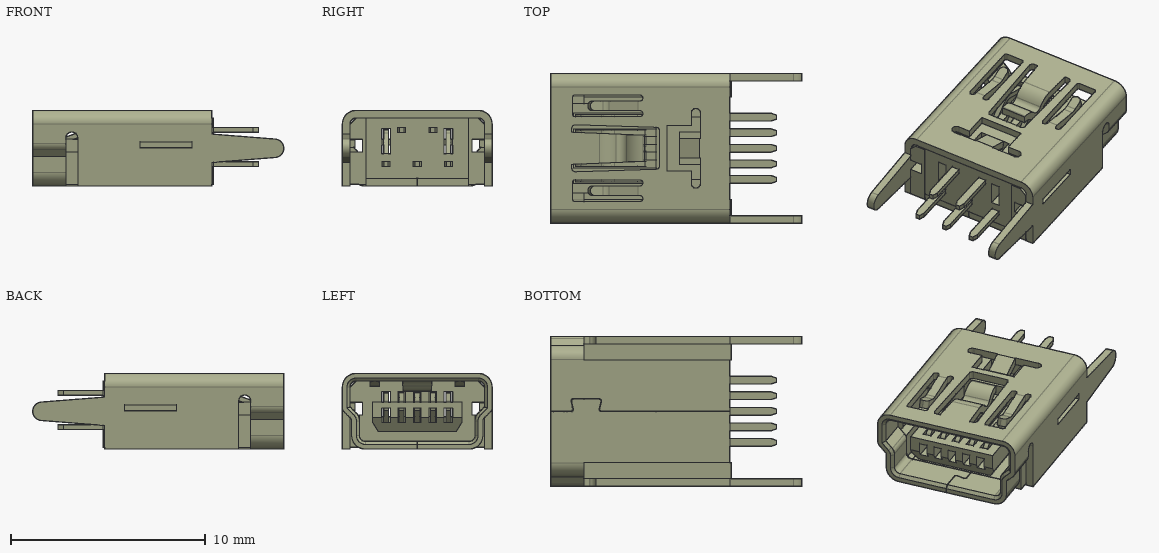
import cadquery as cq
import math

overall_length = 12.9
overall_width = 7.7
overall_height = 3.9
sheet = 0.4

half_width = overall_width / 2
inner_half_width = half_width - sheet
roof_underside = overall_height - sheet
roof_middle = overall_height - sheet / 2

nearly_round = 0.99

shell_length = 9.2
mouth_length = 1.7
corner_radius = 0.71
neck_top = 2.01
neck_half_width = 3.37
neck_radius = 0.41
mouth_bevel = 0.15
side_slot_end = 2.32
side_slot_top = 2.77
seam_width = 0.03
seam_tab_start = 1.19
seam_tab_length = 1.29
seam_tab_depth = 0.63
seam_tab_flare = 0.15
seam_corner_radius = 0.1

leg_center_z = 1.95
leg_root_half_height = 0.74
leg_tip_half_height = 0.48
leg_round_length = 0.43

slit_start = 5.51
slit_end = 8.19
slit_bottom = 1.96
slit_top = 2.28
barb_bottom = 2.0
barb_top = 2.37
barb_depth = 0.26

side_spring_y = 2.18
side_spring_width = 0.49
side_spring_tip = 1.97
side_spring_low = 2.83
side_spring_hinge = 4.5
side_spring_drop = 0.31
side_spring_tip_drop = 0.01
side_spring_bend_radius = 0.77
side_window_start = 1.14
side_window_end = 4.73
side_window_width = 1.11
side_window_corner = 0.1

latch_window_start = 1.08
latch_window_end = 5.59
latch_window_front_half = 1.21
latch_window_rear_half = 1.07
latch_window_front_corner = 0.19
latch_window_rear_corner = 0.15
latch_front_half = 0.83
latch_tip_half = 0.67
latch_tip = 4.81
latch_valley_x = 3.62
latch_valley_run = 0.7
latch_valley_drop = 0.83
latch_valley_radius = 0.55
latch_crest_radius = 0.9

tab_window_start = 5.99
tab_window_half = 1.17
relief_start = 7.22
relief_end = 7.69
relief_half = 2.04
tab_tip = 6.6
tab_half = 0.5
tab_drop = 0.41
tab_root = 0.13

housing_bottom = 0.09
housing_front = mouth_length
rear_block_front = 5.42
ledge_top = 1.77
groove_top = 2.4
groove_half = 2.81
housing_chamfer = corner_radius - sheet
cavity_floor = 0.43
plate_half = 2.63
pad_length = 0.08
tongue_front = 0.7
tongue_half = 2.3
tongue_top = 2.41
tongue_bottom = 0.92
tongue_nose_bottom = 1.63
tongue_slope_run = 0.4
tongue_corner_width = 0.28
tongue_corner_height = 0.46
relief_pocket_start = 1.6
relief_pocket_depth = 0.13
shelf_front = 4.9
tab_pocket_half = 0.83
tab_pocket_bottom = 2.89

outer_slot_width = 0.44
inner_slot_width = 0.4
slot_floor = 1.38
slot_front_top = 2.12
slot_open_start = 1.19
rear_slot_floor = 1.68
rear_slot_top = 2.95
blind_slot_end = 6.45

pin_count = 5
pin_pitch = 0.8
contact_width = 0.26
tail_width = 0.41
pin_thickness = 0.26
pin_end = 11.6
pin_taper = 0.28
pin_tip_width = 0.22
nose_x = 1.4
nose_bottom = 1.99
nose_bend_z = 2.28
nose_radius = 0.32
crown_x = 2.97
crown_z = 2.85
crown_radius = 0.54
foot_x = 4.93
tail_bend_radius = 0.19
lower_tail_z = 1.14
upper_tail_z = 2.89
riser_x = 8.0
tail_start = 8.51


def rounded_outline(plane, corners):
    """Closed outline on a plane from (u, v, radius) corners; radius 0 leaves a corner sharp."""
    stretches = []
    for index, (u, v, radius) in enumerate(corners):
        corner = cq.Vector(u, v)
        if radius == 0:
            stretches.append([corner])
            continue
        before = cq.Vector(*corners[index - 1][:2])
        after = cq.Vector(*corners[(index + 1) % len(corners)][:2])
        back = (before - corner).normalized()
        ahead = (after - corner).normalized()
        half_angle = back.getAngle(ahead) / 2
        reach = radius / math.tan(half_angle)
        to_middle = radius / math.sin(half_angle) - radius
        middle = corner + (back + ahead).normalized() * to_middle
        stretches.append([corner + back * reach, middle, corner + ahead * reach])
    outline = cq.Workplane(plane).moveTo(*stretches[0][-1].toTuple()[:2])
    for stretch in stretches[1:] + stretches[:1]:
        points = [point.toTuple()[:2] for point in stretch]
        if len(points) == 1 and stretch is stretches[0]:
            continue
        outline = outline.lineTo(*points[0])
        if len(points) == 3:
            outline = outline.threePointArc(points[1], points[2])
    return outline.close()


def strip_outline(plane, path, thickness, bend_radii):
    """Outline of a band of even thickness along a path; one centre-line radius for each bend."""
    points = [cq.Vector(*point) for point in path]
    legs = [(end - start).normalized() for start, end in zip(points, points[1:])]
    normals = [cq.Vector(-leg.y, leg.x) for leg in legs]
    radii = [0, *bend_radii, 0]
    left, right = [], []
    for index, (point, radius) in enumerate(zip(points, radii)):
        first = normals[max(index - 1, 0)]
        second = normals[min(index, len(normals) - 1)]
        miter = (first + second) * (thickness / 2 / (1 + first.dot(second)))
        turn = first.x * second.y - first.y * second.x
        growth = math.copysign(thickness / 2, turn) if radius else 0
        left.append(((point + miter).x, (point + miter).y, radius - growth))
        right.append(((point - miter).x, (point - miter).y, radius + growth))
    return rounded_outline(plane, left + right[::-1])


def block(x_range, y_range, z_range):
    """Axis-aligned block between the given limits."""
    lows, highs = zip(x_range, y_range, z_range)
    return cq.Workplane(cq.Solid.makeBox(*[b - a for a, b in zip(lows, highs)], cq.Vector(*lows)))


def on_both_sides(body):
    """The body together with its mirror image across the middle plane."""
    return body.union(body.mirror("XZ"))


def roof_cut(corners):
    """Cutter through the roof with the given plan outline."""
    return rounded_outline("XY", corners).extrude(sheet).translate((0, 0, roof_underside))


def mouth_outline(inset):
    """D-shaped section of the mouth, moved inward by inset."""
    side = half_width - inset
    low_side = neck_half_width - inset
    top = overall_height - inset
    slope_shift = inset * (math.sqrt(2) - 1)
    upper_z = neck_top + slope_shift
    lower_z = upper_z - (half_width - neck_half_width)
    round_radius = corner_radius - inset
    upper_radius = 0 if inset else neck_radius
    lower_radius = neck_radius if inset else 0
    right = [
        (low_side, inset, round_radius),
        (low_side, lower_z, lower_radius),
        (side, upper_z, upper_radius),
        (side, top, round_radius),
    ]
    left = [(-y, z, radius) for y, z, radius in reversed(right)]
    return rounded_outline("YZ", right + left)


def make_mouth():
    mouth = mouth_outline(0).extrude(mouth_length)
    cavity = mouth_outline(sheet).extrude(mouth_length)
    flare = mouth_outline(sheet - mouth_bevel).extrude(mouth_bevel, taper=45)
    return mouth.cut(cavity).cut(flare)


def cover_section(side, top, radius):
    return rounded_outline(
        "YZ", [(side, 0, 0), (side, top, radius), (-side, top, radius), (-side, 0, 0)]
    )


def make_cover():
    """Roof and side walls behind the mouth, with the flat floor plate."""
    length = shell_length - mouth_length
    outside = cover_section(half_width, overall_height, corner_radius).extrude(length)
    inside = cover_section(inner_half_width, roof_underside, corner_radius - sheet).extrude(length)
    cover = outside.cut(inside).translate((mouth_length, 0, 0))
    floor = block((mouth_length, shell_length), (-plate_half, plate_half), (0, sheet))
    return cover.union(floor)


def side_slots():
    """Round-topped slots that part the side walls from the mouth."""
    radius = (side_slot_end - mouth_length) / 2
    slot = rounded_outline("XZ", [
        (mouth_length, 0, 0),
        (mouth_length, side_slot_top, radius * nearly_round),
        (side_slot_end, side_slot_top, radius * nearly_round),
        (side_slot_end, 0, 0),
    ]).extrude(sheet).translate((0, -inner_half_width, 0))
    return on_both_sides(slot)


def seam():
    """Butt joint along the floor with a dovetail tab."""
    tab_end = seam_tab_start + seam_tab_length
    path = [
        (0, 0),
        (seam_tab_start, 0),
        (seam_tab_start - seam_tab_flare, -seam_tab_depth),
        (tab_end + seam_tab_flare, -seam_tab_depth),
        (tab_end, 0),
        (shell_length, 0),
    ]
    radii = [seam_corner_radius] * (len(path) - 2)
    return strip_outline("XY", path, seam_width, radii).extrude(sheet)


def legs():
    root, tip = leg_root_half_height, leg_tip_half_height
    round_start = overall_length - leg_round_length
    leg = (
        cq.Workplane("XZ")
        .moveTo(shell_length, leg_center_z - root)
        .lineTo(round_start, leg_center_z - tip)
        .threePointArc((overall_length, leg_center_z), (round_start, leg_center_z + tip))
        .lineTo(shell_length, leg_center_z + root)
        .close()
        .extrude(sheet)
        .translate((0, -inner_half_width, 0))
    )
    return on_both_sides(leg)


def side_slits():
    slit = block((slit_start, slit_end), (inner_half_width, half_width), (slit_bottom, slit_top))
    return on_both_sides(slit)


def side_barbs():
    barb = block(
        (slit_start, slit_end),
        (inner_half_width - barb_depth, inner_half_width),
        (barb_bottom, barb_top),
    )
    return on_both_sides(barb)


def bent_strip(path, half_breadth, bend_radii):
    """Sheet strip bent along an XZ path, centred on the middle plane."""
    return strip_outline("XZ", path, sheet, bend_radii).extrude(half_breadth, both=True)


def side_spring_windows():
    """Window around each small spring, with a round-ended relief on either side of its root."""
    half = side_window_width / 2
    window = roof_cut([
        (side_window_start, -half, side_window_corner),
        (side_spring_hinge, -half, 0),
        (side_spring_hinge, half, 0),
        (side_window_start, half, side_window_corner),
    ])
    root_half = side_spring_width / 2
    end_radius = (half - root_half) / 2 * nearly_round
    relief = roof_cut([
        (side_spring_low, root_half, 0),
        (side_window_end, root_half, end_radius),
        (side_window_end, half, end_radius),
        (side_spring_low, half, 0),
    ])
    window = window.union(on_both_sides(relief))
    return on_both_sides(window.translate((0, side_spring_y, 0)))


def side_springs():
    low_z = roof_middle - side_spring_drop
    path = [
        (side_window_end, roof_middle),
        (side_spring_hinge, roof_middle),
        (side_spring_low, low_z),
        (side_spring_tip, roof_middle - side_spring_tip_drop),
    ]
    half = side_spring_width / 2
    spring = bent_strip(path, half, [0, side_spring_bend_radius])
    spring = spring.faces("<X").edges("not |Y").fillet(half * nearly_round)
    return on_both_sides(spring.translate((0, side_spring_y, 0)))


def latch_window():
    return roof_cut([
        (latch_window_start, -latch_window_front_half, latch_window_front_corner),
        (latch_window_end, -latch_window_rear_half, latch_window_rear_corner),
        (latch_window_end, latch_window_rear_half, latch_window_rear_corner),
        (latch_window_start, latch_window_front_half, latch_window_front_corner),
    ])


def latch_spring():
    path = [
        (latch_window_start, roof_middle),
        (latch_valley_x - latch_valley_run, roof_middle),
        (latch_valley_x, roof_middle - latch_valley_drop),
        (latch_valley_x + latch_valley_run, roof_middle),
        (latch_tip, roof_middle),
    ]
    radii = [latch_crest_radius, latch_valley_radius, latch_crest_radius]
    plan = rounded_outline("XY", [
        (latch_window_start, -latch_front_half, 0),
        (latch_tip, -latch_tip_half, 0),
        (latch_tip, latch_tip_half, 0),
        (latch_window_start, latch_front_half, 0),
    ]).extrude(overall_height)
    return bent_strip(path, latch_front_half, radii).intersect(plan)


def tab_window():
    radius = (relief_end - relief_start) / 2 * nearly_round
    relief = roof_cut([
        (relief_start, -relief_half, radius),
        (relief_end, -relief_half, radius),
        (relief_end, relief_half, radius),
        (relief_start, relief_half, radius),
    ])
    opening = block(
        (tab_window_start, relief_end),
        (-tab_window_half, tab_window_half),
        (roof_underside, overall_height),
    )
    return relief.union(opening)


def retaining_tab():
    path = [
        (relief_end + tab_root, roof_middle),
        (relief_end, roof_middle),
        (tab_tip, roof_middle - tab_drop),
    ]
    limit = block((tab_tip, relief_end + tab_root), (-tab_half, tab_half), (0, overall_height))
    return bent_strip(path, tab_half, [0]).intersect(limit)


def make_shell():
    shell = make_mouth().union(make_cover()).union(legs())
    shell = shell.cut(side_slots()).cut(seam()).cut(side_slits()).union(side_barbs())
    shell = shell.cut(side_spring_windows()).union(side_springs())
    shell = shell.cut(latch_window()).union(latch_spring())
    return shell.cut(tab_window()).union(retaining_tab())


def make_pin(y, upper_tail):
    """Contact sprung up through the tongue, then a flat tail at the lower or upper level."""
    path = [
        (nose_x, nose_bottom),
        (nose_x, nose_bend_z),
        (crown_x, crown_z),
        (foot_x, lower_tail_z),
    ]
    radii = [nose_radius, crown_radius, tail_bend_radius]
    tail_z = lower_tail_z
    if upper_tail:
        tail_z = upper_tail_z
        path += [(riser_x, lower_tail_z), (riser_x, upper_tail_z)]
        radii += [tail_bend_radius] * 2
    path.append((tail_start, tail_z))
    contact = strip_outline("XZ", path, pin_thickness, radii).extrude(contact_width / 2, both=True)
    half, tip_half = tail_width / 2, pin_tip_width / 2
    tail = (
        cq.Workplane("XY")
        .polyline([
            (tail_start, -half),
            (pin_end - pin_taper, -half),
            (pin_end, -tip_half),
            (pin_end, tip_half),
            (pin_end - pin_taper, half),
            (tail_start, half),
        ])
        .close()
        .extrude(pin_thickness)
        .translate((0, 0, tail_z - pin_thickness / 2))
    )
    return contact.union(tail).translate((0, y, 0))


def make_tongue():
    side = (
        cq.Workplane("XZ")
        .polyline([
            (tongue_front, tongue_top),
            (tongue_front, tongue_nose_bottom),
            (tongue_front + tongue_slope_run, tongue_bottom),
            (rear_block_front, tongue_bottom),
            (rear_block_front, tongue_top),
        ])
        .close()
        .extrude(tongue_half, both=True)
    )
    keel_half = tongue_half - tongue_corner_width
    corner_z = tongue_bottom + tongue_corner_height
    section = (
        cq.Workplane("YZ")
        .polyline([
            (-keel_half, tongue_bottom),
            (keel_half, tongue_bottom),
            (tongue_half, corner_z),
            (tongue_half, tongue_top),
            (-tongue_half, tongue_top),
            (-tongue_half, corner_z),
        ])
        .close()
        .extrude(rear_block_front)
    )
    return side.intersect(section)


def make_housing_block():
    side = (-inner_half_width, inner_half_width)
    rear = block((rear_block_front, shell_length), side, (housing_bottom, roof_underside))
    pad = block(
        (shell_length, shell_length + pad_length),
        (plate_half, inner_half_width),
        (housing_bottom, roof_underside),
    )
    rear = rear.union(on_both_sides(pad))
    edge = cq.Workplane("YZ").polyline([
        (inner_half_width, roof_underside - housing_chamfer),
        (inner_half_width, roof_underside),
        (inner_half_width - housing_chamfer, roof_underside),
    ]).close().extrude(shell_length + pad_length)
    rear = rear.cut(on_both_sides(edge))
    lower = block((housing_front, rear_block_front), side, (housing_bottom, ledge_top))
    cavity_half = neck_half_width - sheet
    cavity = block(
        (housing_front, rear_block_front), (-cavity_half, cavity_half), (cavity_floor, ledge_top)
    )
    return rear.union(lower.cut(cavity))


def side_grooves():
    groove = block(
        (rear_block_front, shell_length + pad_length),
        (groove_half, inner_half_width),
        (ledge_top, groove_top),
    )
    return on_both_sides(groove)


def pin_slot(y, outer):
    """Clearance for one contact, open at the tongue's nose and top and into the rear block."""
    half = (outer_slot_width if outer else inner_slot_width) / 2
    side = (y - half, y + half)
    nose = block((tongue_front, slot_open_start), side, (slot_floor, slot_front_top))
    top = block((slot_open_start, rear_block_front), side, (slot_floor, rear_slot_top))
    rear_end = shell_length if outer else blind_slot_end
    rear = block((rear_block_front, rear_end), side, (rear_slot_floor, rear_slot_top))
    return nose.union(top).union(rear)


def tab_pockets():
    """Pockets in the top of the housing under the retaining tab and its relief slot."""
    relief_pocket = block(
        (relief_start, relief_end),
        (relief_pocket_start, relief_half),
        (roof_underside - relief_pocket_depth, roof_underside),
    )
    tab_pocket = block(
        (tab_tip, relief_end),
        (-tab_pocket_half, tab_pocket_half),
        (tab_pocket_bottom, roof_underside),
    )
    return on_both_sides(relief_pocket).union(tab_pocket)


def contact_shelf():
    """Shelf in front of the rear block that the contact slots split into ribs."""
    return block((shelf_front, rear_block_front), (-pin_pitch, pin_pitch), (tongue_top, rear_slot_top))


def make_housing(pins, pin_rows):
    housing = make_housing_block().cut(side_grooves()).union(make_tongue()).union(contact_shelf())
    floor_space = block((0, shell_length), (-plate_half, plate_half), (0, sheet))
    housing = housing.cut(floor_space).cut(tab_pockets()).cut(retaining_tab())
    outermost = max(pin_rows)
    for y in pin_rows:
        housing = housing.cut(pin_slot(y, outer=abs(y) == outermost))
    for pin in pins:
        housing = housing.cut(pin)
    return housing


pin_rows = [(index - (pin_count - 1) / 2) * pin_pitch for index in range(pin_count)]
pins = [make_pin(y, upper_tail=index % 2 == 1) for index, y in enumerate(pin_rows)]
shell = make_shell()
housing = make_housing(pins, pin_rows)

bodies = [shell, housing, *pins]

result = cq.Compound.makeCompound([body.solids().val() for body in bodies])